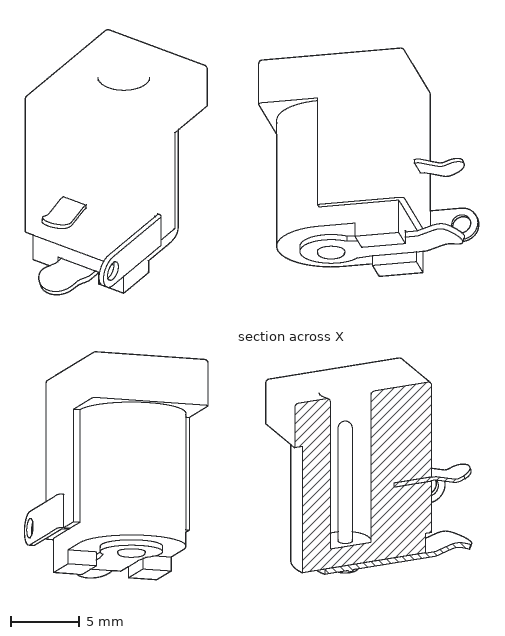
import cadquery as cq
import math


height = 14.5
body_width = 9.0
body_back = 4.5
body_front = -6.5
head_height = 3.5
body_bottom = 2.57
edge_round = 0.3
barrel_radius = 4.0
barrel_bottom = 1.05
foot_front = -6.0
foot_back = -2.7
foot_gap = 3.6

bore_radius = 1.9
bore_round = 0.3
bore_floor = 2.6

pin_radius = 0.52
pin_top = 12.0
plate_thickness = 0.4
disc_radius = 2.29
neck_start = -1.57
tail_width = 3.0
rivet_radius = 1.02
rivet_height = 0.25
rivet_round = 0.2

tail_tip = -10.0
tail_bend_start = -6.82
tail_bend_turn = -8.54
inner_slope = 0.29
outer_slope = 0.37
center_bend_radii = (0.44, 1.6)

spring_width = 2.0
spring_thickness = 0.29
spring_z = 6.8
spring_inner_end = -3.48
spring_bend_radii = (0.22, 0.87)

lug_thickness = 0.39
lug_width = 2.51
lug_back = -2.19
lug_hole_radius = 0.71
lug_bend_radius = 0.32
lug_leg_depth = 1.45


def block(x_range, y_range, z_range):
    """Box between the given limits along each axis."""
    size = [high - low for low, high in (x_range, y_range, z_range)]
    corner = (x_range[0], y_range[0], z_range[0])
    return cq.Workplane("XY").box(*size, centered=False).translate(corner)


def cylinder(radius, bottom, top):
    """Cylinder on the barrel axis."""
    return cq.Workplane("XY").workplane(offset=bottom).circle(radius).extrude(top - bottom)


def bent_path(points, radii):
    """Path in the YZ plane through the points, with an arc at each inner point."""
    vertices = [cq.Vector(*point) for point in points]
    path = cq.Workplane("YZ").moveTo(*points[0])
    for before, bend, after, radius in zip(vertices, vertices[1:], vertices[2:], radii):
        incoming = (bend - before).normalized()
        outgoing = (after - bend).normalized()
        setback = radius * math.tan(incoming.getAngle(outgoing) / 2)
        arc_start = bend - incoming * setback
        arc_end = bend + outgoing * setback
        path = path.lineTo(arc_start.x, arc_start.y)
        path = path.tangentArcPoint((arc_end.x, arc_end.y), relative=False)
    return path.lineTo(*points[-1])


def bent_strip(start, level, direction, width, thickness, radii):
    """Sheet strip along -Y, bent up (direction 1) or down (-1) and back, with a round tip."""
    tip_angle = math.atan(outer_slope)
    turn_z = level + direction * inner_slope * (tail_bend_start - tail_bend_turn)
    path_end = tail_tip + thickness / 2 * math.sin(tip_angle)
    end_z = turn_z - direction * outer_slope * (tail_bend_turn - path_end)
    path = bent_path(
        [(start, level), (tail_bend_start, level), (tail_bend_turn, turn_z), (path_end, end_z)],
        radii,
    )
    strip = cq.Workplane("XZ", origin=(0, start, level)).rect(width, thickness).sweep(path)

    half_width = width / 2
    outline = (
        cq.Workplane("XY")
        .moveTo(-half_width, height)
        .lineTo(-half_width, half_width)
        .threePointArc((0, 0), (half_width, half_width))
        .lineTo(half_width, height)
        .close()
        .extrude(height, both=True)
        .rotate((0, 0, 0), (1, 0, 0), direction * math.degrees(tip_angle))
        .translate((0, path_end, end_z))
    )
    return strip.intersect(outline)


def make_center_contact():
    plate_bottom = barrel_bottom - plate_thickness
    disc = cylinder(disc_radius, plate_bottom, barrel_bottom)
    neck_half = math.sqrt(disc_radius**2 - neck_start**2)
    neck = (
        cq.Workplane("XY")
        .workplane(offset=plate_bottom)
        .polyline([
            (-neck_half, neck_start),
            (-tail_width / 2, foot_back),
            (tail_width / 2, foot_back),
            (neck_half, neck_start),
        ])
        .close()
        .extrude(plate_thickness)
    )
    plate_middle = barrel_bottom - plate_thickness / 2
    tail = bent_strip(foot_back, plate_middle, 1, tail_width, plate_thickness, center_bend_radii)
    rivet = cylinder(rivet_radius, plate_bottom - rivet_height, plate_bottom)
    rivet = rivet.faces("<Z").edges().fillet(rivet_round)
    dome_center = pin_top - pin_radius
    shank = cylinder(pin_radius, plate_bottom, dome_center)
    dome = cq.Workplane("XY").sphere(pin_radius).translate((0, 0, dome_center))
    return disc.union(neck).union(tail).union(rivet).union(shank).union(dome)


def make_spring_contact():
    return bent_strip(
        spring_inner_end, spring_z, -1, spring_width, spring_thickness, spring_bend_radii
    )


def make_side_terminal():
    inner_x = body_width / 2
    outer_x = inner_x + lug_thickness
    end_radius = lug_width / 2
    hole_y = tail_tip + end_radius
    hole_z = body_bottom + end_radius
    z_range = (body_bottom, body_bottom + lug_width)
    lug = block((inner_x, outer_x), (hole_y, lug_back), z_range)
    leg = block((inner_x - lug_leg_depth, outer_x), (lug_back - lug_thickness, lug_back), z_range)
    face = cq.Workplane("YZ", origin=(inner_x, hole_y, hole_z))
    round_end = face.circle(end_radius).extrude(lug_thickness)
    hole = face.circle(lug_hole_radius).extrude(lug_thickness)
    bent = lug.union(leg).edges("|Z and >X and >Y").fillet(lug_bend_radius)
    return bent.union(round_end).cut(hole)


def make_housing(contacts):
    half_width = body_width / 2
    x_range = (-half_width, half_width)
    head = block(x_range, (body_front, body_back), (height - head_height, height))
    body = block(x_range, (body_front, 0), (body_bottom, height))
    shell = head.union(body)
    shell = shell.edges("|Z and (<Y or >Y)").fillet(edge_round)
    shell = shell.faces(">Z").edges().fillet(edge_round)

    barrel = cylinder(barrel_radius, barrel_bottom, height - head_height)
    base_x = (-barrel_radius, barrel_radius)
    base = block(base_x, (foot_front, 0), (barrel_bottom, body_bottom))
    feet = block(base_x, (foot_front, foot_back), (0, barrel_bottom))
    gap = block((-foot_gap / 2, foot_gap / 2), (foot_front, foot_back), (0, barrel_bottom))
    housing = shell.union(barrel).union(base).union(feet.cut(gap))

    bore = cylinder(bore_radius, bore_floor, height)
    housing = housing.cut(bore)
    rim = cq.selectors.RadiusNthSelector(0)
    housing = housing.faces(">Z").edges("%CIRCLE").edges(rim).fillet(bore_round)

    for contact in contacts:
        housing = housing.cut(contact)
    return housing


center_contact = make_center_contact()
spring_contact = make_spring_contact()
side_terminal = make_side_terminal()
housing = make_housing([center_contact, spring_contact, side_terminal])

result = cq.Compound.makeCompound([
    housing.val(),
    center_contact.val(),
    spring_contact.val(),
    side_terminal.val(),
])